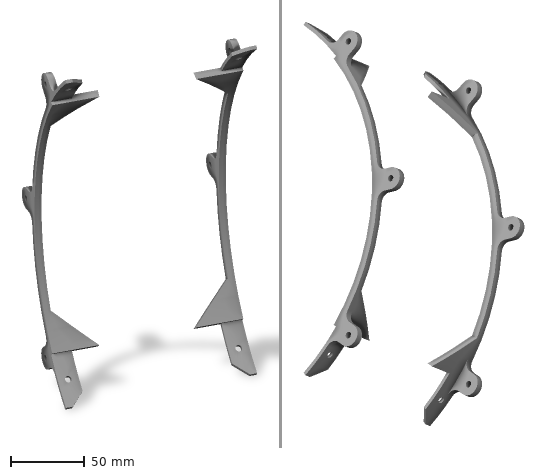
import cadquery as cq
import math

overall_height = 253.7
outer_radius = 160.3
band_thickness = 5.0
flange_thickness = 2.5
band_inner_radius = outer_radius - band_thickness
flange_inner_radius = outer_radius - flange_thickness

band_end_angle = 38.0
fin_start_angle = 27.4
flange_end_angle = math.degrees(math.asin(overall_height / 2 / outer_radius))
flange_hole_angle = 45.0
lug_angles = (-band_end_angle, 0, band_end_angle)

overall_width = 140.0
band_width = 5.0
flange_width = 15.2
fin_width = 35.0
flange_hole_depth = 7.5

lug_radius = 7.9
lug_center_radius = 171.3
lug_fillet = 6.5
hole_diameter = 4.5

flange_corner = flange_width - band_width
clearance = 2.5
cutter_radius = outer_radius + clearance
cutter_inner_radius = band_inner_radius - clearance
cutter_end_angle = flange_end_angle + math.degrees(clearance / outer_radius)

outer_face_y = -overall_width / 2


def polar(radius, angle):
    """Point in the XZ plane at a radius and an angle from -X toward +Z."""
    a = math.radians(angle)
    return (-radius * math.cos(a), radius * math.sin(a))


def sketch_face():
    """Workplane on the outer flat face; negative extrusions run into the bracket."""
    return cq.Workplane("XZ", origin=(0, outer_face_y, 0))


def ring_sector(radius, inner_radius, start, end, width):
    middle = (start + end) / 2
    return (
        sketch_face()
        .moveTo(*polar(radius, start))
        .threePointArc(polar(radius, middle), polar(radius, end))
        .lineTo(*polar(inner_radius, end))
        .threePointArc(polar(inner_radius, middle), polar(inner_radius, start))
        .close()
        .extrude(-width)
    )


def radial_workplane():
    """Plane facing +X inside the ring at angle zero: axes are depth and tangent."""
    return cq.Workplane("YZ", origin=(-cutter_radius, outer_face_y, 0))


def place_at_angle(body, angle):
    return body.rotate((0, 0, 0), (0, 1, 0), angle)


def radial_prism(points, angle):
    """Cutter with a (depth, tangent) outline, running radially at an angle."""
    prism = radial_workplane().polyline(points).close().extrude(band_thickness + 3 * clearance)
    return place_at_angle(prism, angle)


def make_arc():
    """Curved body carved from one thick ring sector, with a fin and a flange at each end."""
    arc = ring_sector(outer_radius, band_inner_radius, -flange_end_angle, flange_end_angle, fin_width)

    band_waste = ring_sector(
        cutter_radius, cutter_inner_radius, -fin_start_angle, fin_start_angle, fin_width
    )
    arc = arc.cut(band_waste.translate((0, band_width, 0)))

    fin_middle_angle = (fin_start_angle + band_end_angle) / 2
    fin_half_angle = math.radians(band_end_angle - fin_start_angle) / 2
    fin_half_length = outer_radius * math.sin(fin_half_angle)
    slope_waste = radial_prism(
        [
            (band_width, -fin_half_length - clearance),
            (band_width, -fin_half_length),
            (fin_width, fin_half_length),
            (fin_width + clearance, fin_half_length),
            (fin_width + clearance, -fin_half_length - clearance),
        ],
        fin_middle_angle,
    )

    flange_inside_waste = ring_sector(
        flange_inner_radius, cutter_inner_radius, band_end_angle, cutter_end_angle, fin_width
    )
    flange_width_waste = ring_sector(
        cutter_radius, cutter_inner_radius, band_end_angle, cutter_end_angle, fin_width
    ).translate((0, flange_width, 0))
    corner_waste = radial_prism(
        [
            (band_width, 0),
            (flange_width, -flange_corner),
            (flange_width + clearance, -flange_corner),
            (flange_width + clearance, clearance),
            (band_width, clearance),
        ],
        flange_end_angle,
    )
    for waste in (slope_waste, flange_inside_waste, flange_width_waste, corner_waste):
        arc = arc.cut(waste).cut(waste.mirror("XY"))
    return arc


def make_lug(angle):
    root_radius = outer_radius - flange_thickness / 2
    lug = (
        sketch_face()
        .moveTo(-root_radius, lug_radius)
        .lineTo(-lug_center_radius, lug_radius)
        .threePointArc(
            (-lug_center_radius - lug_radius, 0), (-lug_center_radius, -lug_radius)
        )
        .lineTo(-root_radius, -lug_radius)
        .close()
        .extrude(-band_width)
    )
    return place_at_angle(lug, angle)


def round_lug_roots(bracket):
    """Round the two inside corners where each lug meets the arc."""
    root_half_angle = math.degrees(math.asin(lug_radius / outer_radius))
    for angle in lug_angles:
        for side in (-1, 1):
            x, z = polar(outer_radius, angle + side * root_half_angle)
            corner = cq.selectors.NearestToPointSelector((x, outer_face_y + band_width / 2, z))
            bracket = bracket.edges("|Y").edges(corner).fillet(lug_fillet)
    return bracket


def lug_hole(angle):
    return (
        sketch_face()
        .center(*polar(lug_center_radius, angle))
        .circle(hole_diameter / 2)
        .extrude(-band_width)
    )


def flange_hole(angle):
    hole = (
        radial_workplane()
        .center(flange_hole_depth, 0)
        .circle(hole_diameter / 2)
        .extrude(band_thickness + 2 * clearance)
    )
    return place_at_angle(hole, angle)


def make_bracket():
    bracket = make_arc()
    for angle in lug_angles:
        bracket = bracket.union(make_lug(angle))
    bracket = round_lug_roots(bracket)
    for angle in lug_angles:
        bracket = bracket.cut(lug_hole(angle))
    for angle in (-flange_hole_angle, flange_hole_angle):
        bracket = bracket.cut(flange_hole(angle))
    return bracket


front_bracket = make_bracket()
brackets = [front_bracket, front_bracket.mirror("XZ")]

result = cq.Compound.makeCompound([bracket.solids().val() for bracket in brackets])